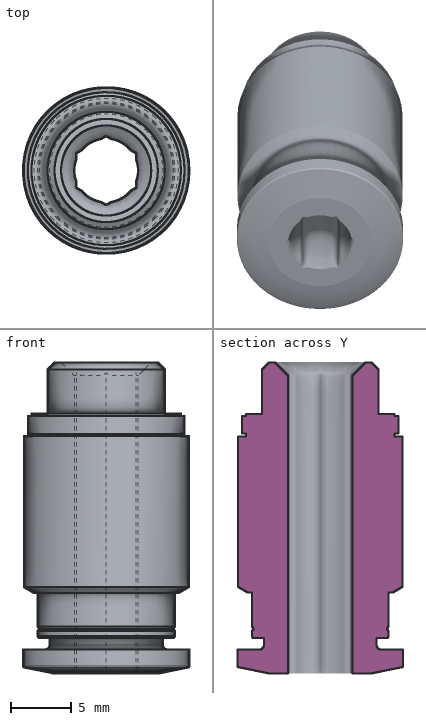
import cadquery as cq
import math


total_height = 25.8
button_top = 2.0
lip_bottom = 2.94
groove_root = 3.68
body_bottom = 6.68
body_top = 19.7
collar_top = 21.55

button_radius = 13.8 / 2
button_face_radius = 4.3
button_cone_height = 0.53
button_edge_fillet = 0.15
neck_radius = 9.4 / 2
neck_fillet = 0.36

sleeve_radius = 11.4 / 2
lip_chamfer_width = 0.1
lip_chamfer_height = 0.16
groove_depth = 0.15
groove_height_above_root = 0.24
groove_height_below_root = 0.16

body_radius = 13.7 / 2
bevel_height = 0.5
bevel_width = bevel_height / math.tan(math.radians(30))

collar_radius = 13.0 / 2
collar_step_radius = 12.4 / 2
collar_step_height = 0.17

spigot_radius = 9.73 / 2
spigot_chamfer = 0.58

bore_diameter = 5.28
hexagon_across_flats = 4.95
hexagon_corner_diameter = hexagon_across_flats / math.cos(math.radians(30))
countersink_radius = 7.48 / 2
countersink_depth = 1.5


def disc(radius, bottom, top):
    """Cylinder on the Z axis between two levels."""
    return cq.Workplane("XY").workplane(offset=bottom).circle(radius).extrude(top - bottom)


def revolve_profile(points):
    """Turn a closed (radius, height) outline about the Z axis."""
    return cq.Workplane("XZ").polyline(points).close().revolve(360, (0, 0), (0, 1))


def make_button():
    button = revolve_profile([
        (0, 0),
        (button_face_radius, 0),
        (button_radius, button_cone_height),
        (button_radius, button_top),
        (neck_radius, button_top),
        (neck_radius, lip_bottom),
        (0, lip_bottom),
    ])
    cone_rim = cq.selectors.NearestToPointSelector((-button_radius, 0, button_cone_height))
    return button.edges(cone_rim).fillet(button_edge_fillet)


def make_neck_fillet():
    """Concave ring blending the neck into the top of the button."""
    outer_radius = neck_radius + neck_fillet
    upper_end = button_top + neck_fillet
    arc_offset = neck_fillet * math.cos(math.radians(45))
    return (
        cq.Workplane("XZ")
        .moveTo(0, button_top)
        .lineTo(outer_radius, button_top)
        .threePointArc((outer_radius - arc_offset, upper_end - arc_offset), (neck_radius, upper_end))
        .lineTo(0, upper_end)
        .close()
        .revolve(360, (0, 0), (0, 1))
    )


def make_sleeve():
    return revolve_profile([
        (0, lip_bottom),
        (sleeve_radius - lip_chamfer_width, lip_bottom),
        (sleeve_radius, lip_bottom + lip_chamfer_height),
        (sleeve_radius, groove_root - groove_height_below_root),
        (sleeve_radius - groove_depth, groove_root),
        (sleeve_radius, groove_root + groove_height_above_root),
        (sleeve_radius, body_bottom),
        (0, body_bottom),
    ])


def make_body():
    return revolve_profile([
        (0, body_bottom),
        (body_radius - bevel_width, body_bottom),
        (body_radius, body_bottom + bevel_height),
        (body_radius, body_top),
        (0, body_top),
    ])


def make_collar():
    core = disc(collar_step_radius, body_top, collar_top)
    band = disc(collar_radius, body_top + collar_step_height, collar_top - collar_step_height)
    return core.union(band)


def make_spigot():
    return disc(spigot_radius, collar_top, total_height).faces(">Z").chamfer(spigot_chamfer)


def make_bore():
    round_hole = disc(bore_diameter / 2, 0, total_height)
    hexagon = (
        cq.Workplane("XY")
        .transformed(rotate=(0, 0, 30))
        .polygon(6, hexagon_corner_diameter)
        .extrude(total_height)
    )
    countersink = revolve_profile([
        (0, total_height),
        (countersink_radius, total_height),
        (countersink_radius - countersink_depth, total_height - countersink_depth),
        (0, total_height - countersink_depth),
    ])
    return round_hole.union(hexagon).union(countersink)


result = (
    make_button()
    .union(make_neck_fillet())
    .union(make_sleeve())
    .union(make_body())
    .union(make_collar())
    .union(make_spigot())
    .cut(make_bore())
)